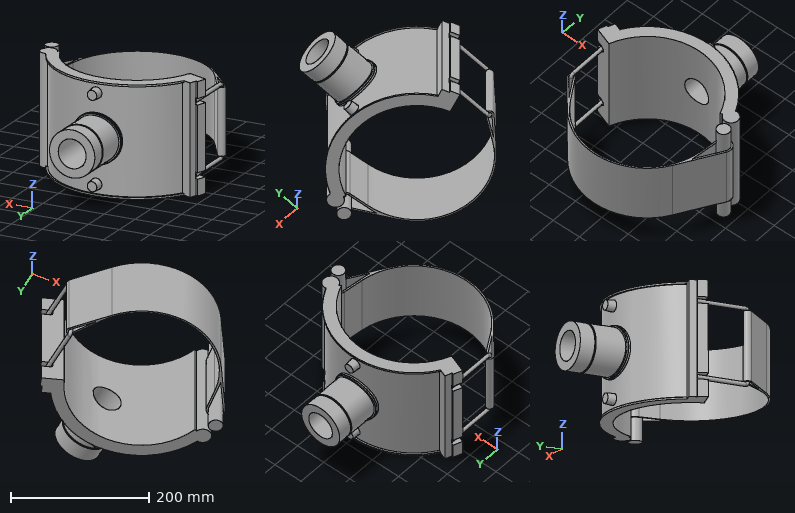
import cadquery as cq
import math

PIPE_RADIUS = 112.5
RIM_RADIUS = 132.5
SHELL_RADIUS = 129.5
RIM_WIDTH = 3.0
CLAMP_HEIGHT = 176.0
END_ANGLE = 20.0

KNUCKLE_RADIUS = 13.0

LATCH_REACH = 146.0
LATCH_LIP_HEIGHT = 16.0
LATCH_STEP_REACH = 143.0
LATCH_HEIGHT = 28.0
LATCH_ROOT = PIPE_RADIUS + 5.0
SLOT_DIAMETER = 10.0
SLOT_CENTRE_REACH = 134.0

OUTLET_END = 205.74
OUTLET_DIAMETER = 73.65
OUTLET_BORE = 45.33
GROOVE_DIAMETER = 72.65
GROOVE_WIDTH = 2.0
GROOVE_SETBACK = 24.5
OUTLET_ROOT = PIPE_RADIUS + 2.5
COLLAR_DIAMETER = 79.32
COLLAR_STEP = 0.5
COLLAR_RADIUS = RIM_RADIUS + 2.5

STUD_END = 142.9
STUD_ROOT = SHELL_RADIUS - 3.0
STUD_TIP_DIAMETER = 15.4
STUD_BASE_DIAMETER = 18.4
STUD_OFFSET = 70.1

STRAP_THICKNESS = 3.0
STRAP_WIDTH = 106.0
STRAP_RADIUS = PIPE_RADIUS + STRAP_THICKNESS
PIN_DIAMETER = 21.81
PIN_CENTRE = (129.51, 18.3)
WIRE_DIAMETER = 6.75
WIRE_CENTRE = (-126.1, -22.0)
WIRE_BEND_RADIUS = 4.0
WIRE_END_Y = 63.5
WIRE_ARM_Z = STRAP_WIDTH / 2 + WIRE_BEND_RADIUS


def polar(radius, angle, centre=(0.0, 0.0)):
    """Point at a radius and an angle in degrees from a centre."""
    turn = math.radians(angle)
    return (centre[0] + radius * math.cos(turn), centre[1] + radius * math.sin(turn))


def upright(sketch, height):
    """Extrude an XY outline symmetrically about Z = 0."""
    return sketch.extrude(height / 2, both=True)


def along_y(diameter, start, end):
    """Cylinder along Y, centred on X = 0 and Z = 0."""
    plane = cq.Plane(origin=(0, start, 0), xDir=(1, 0, 0), normal=(0, 1, 0))
    return cq.Workplane(plane).circle(diameter / 2).extrude(end - start)


def pipe_cylinder(radius):
    """Full-height cylinder about the pipe axis."""
    return upright(cq.Workplane("XY").circle(radius), CLAMP_HEIGHT)


def arc_shell(outer_radius, height):
    """Shell between the pipe and an outer radius, from end face to end face."""
    far_angle = 180 - END_ANGLE
    outline = (
        cq.Workplane("XY")
        .moveTo(*polar(PIPE_RADIUS, END_ANGLE))
        .lineTo(*polar(outer_radius, END_ANGLE))
        .threePointArc((0, outer_radius), polar(outer_radius, far_angle))
        .lineTo(*polar(PIPE_RADIUS, far_angle))
        .threePointArc((0, PIPE_RADIUS), polar(PIPE_RADIUS, END_ANGLE))
        .close()
    )
    return upright(outline, height)


def make_saddle_shell():
    shell = arc_shell(SHELL_RADIUS, CLAMP_HEIGHT)
    rims = arc_shell(RIM_RADIUS, CLAMP_HEIGHT).cut(
        arc_shell(RIM_RADIUS, CLAMP_HEIGHT - 2 * RIM_WIDTH)
    )
    knuckle_centre = polar(SHELL_RADIUS, END_ANGLE)
    knuckle = upright(
        cq.Workplane("XY").moveTo(*knuckle_centre).circle(KNUCKLE_RADIUS), CLAMP_HEIGHT
    )
    return shell.union(rims).union(knuckle)


def make_latch_block():
    """Stepped block with two wire slots; local X is radial, local -Y points away from the end face."""
    profile = [
        (PIPE_RADIUS, 0),
        (LATCH_REACH, 0),
        (LATCH_REACH, -LATCH_LIP_HEIGHT),
        (LATCH_STEP_REACH, -LATCH_LIP_HEIGHT),
        (LATCH_STEP_REACH, -LATCH_HEIGHT),
        (LATCH_ROOT, -LATCH_HEIGHT),
        (LATCH_ROOT, -LATCH_LIP_HEIGHT),
    ]
    block = upright(cq.Workplane("XY").polyline(profile).close(), CLAMP_HEIGHT)
    slot_length = LATCH_REACH - SLOT_CENTRE_REACH
    for z in (-WIRE_ARM_Z, WIRE_ARM_Z):
        end_face = cq.Plane(origin=(SLOT_CENTRE_REACH, 0, z), xDir=(1, 0, 0), normal=(0, -1, 0))
        round_end = cq.Workplane(end_face).circle(SLOT_DIAMETER / 2).extrude(LATCH_LIP_HEIGHT)
        channel = (
            cq.Workplane(end_face)
            .center(slot_length / 2, 0)
            .rect(slot_length, SLOT_DIAMETER)
            .extrude(LATCH_LIP_HEIGHT)
        )
        block = block.cut(round_end).cut(channel)
    return block.rotate((0, 0, 0), (0, 0, 1), 180 - END_ANGLE)


def make_outlet():
    groove_start = OUTLET_END - GROOVE_SETBACK - GROOVE_WIDTH
    groove_end = groove_start + GROOVE_WIDTH
    groove = along_y(OUTLET_DIAMETER, groove_start, groove_end).cut(
        along_y(GROOVE_DIAMETER, groove_start, groove_end)
    )
    outlet = along_y(OUTLET_DIAMETER, OUTLET_ROOT, OUTLET_END).cut(groove)
    lower_collar = make_collar_layer(COLLAR_DIAMETER, RIM_RADIUS)
    upper_collar = make_collar_layer(COLLAR_DIAMETER - 2 * COLLAR_STEP, COLLAR_RADIUS)
    return outlet.union(lower_collar).union(upper_collar)


def make_collar_layer(diameter, top_radius):
    """Round collar around the outlet whose top follows the curve of the shell."""
    return along_y(diameter, OUTLET_ROOT, top_radius).intersect(pipe_cylinder(top_radius))


def make_stud(z):
    """Slightly tapered stud standing on the shell."""
    base = cq.Plane(origin=(0, STUD_ROOT, z), xDir=(1, 0, 0), normal=(0, 1, 0))
    return (
        cq.Workplane(base)
        .circle(STUD_BASE_DIAMETER / 2)
        .workplane(offset=STUD_END - STUD_ROOT)
        .circle(STUD_TIP_DIAMETER / 2)
        .loft()
    )


def strap_tangents(centre, core_radius, side):
    """Angles about the pipe axis where the outer and inner strands of a loop meet the band.

    The strands run tangent to the band and to the loop; side is +1 when the band
    lies counterclockwise of the loop and -1 when it lies clockwise.
    """
    distance = math.hypot(*centre)
    bearing = math.degrees(math.atan2(centre[1], centre[0])) % 360
    loop_radius = core_radius + STRAP_THICKNESS
    outer = math.degrees(math.acos((STRAP_RADIUS - loop_radius) / distance))
    inner = math.degrees(math.acos((PIPE_RADIUS + loop_radius) / distance))
    return bearing + side * outer, bearing + side * inner


def make_strap():
    """Band below the pipe, folded back on itself around the wire and around the pin."""
    wire_radius = WIRE_DIAMETER / 2
    pin_radius = PIN_DIAMETER / 2
    wire_loop = wire_radius + STRAP_THICKNESS
    pin_loop = pin_radius + STRAP_THICKNESS
    wire_outer, wire_inner = strap_tangents(WIRE_CENTRE, wire_radius, 1)
    pin_outer, pin_inner = strap_tangents(PIN_CENTRE, pin_radius, -1)

    wire_gap = (wire_outer + wire_inner + 180) / 2
    pin_gap = (pin_outer + pin_inner - 180) / 2
    bottom_angle = 270
    envelope = (
        cq.Workplane("XY")
        .moveTo(*polar(STRAP_RADIUS, wire_outer))
        .threePointArc(polar(STRAP_RADIUS, bottom_angle), polar(STRAP_RADIUS, pin_outer))
        .lineTo(*polar(pin_loop, pin_outer, PIN_CENTRE))
        .threePointArc(
            polar(pin_loop, pin_gap + 180, PIN_CENTRE),
            polar(pin_loop, pin_inner + 180, PIN_CENTRE),
        )
        .lineTo(*polar(PIPE_RADIUS, pin_inner))
        .threePointArc(polar(PIPE_RADIUS, bottom_angle), polar(PIPE_RADIUS, wire_inner))
        .lineTo(*polar(wire_loop, wire_inner + 180, WIRE_CENTRE))
        .threePointArc(
            polar(wire_loop, wire_gap + 180, WIRE_CENTRE),
            polar(wire_loop, wire_outer, WIRE_CENTRE),
        )
        .close()
    )
    strap = upright(envelope, STRAP_WIDTH)
    strap = strap.cut(make_fold_gap(WIRE_CENTRE, wire_radius, wire_outer, wire_gap))
    return strap.cut(make_fold_gap(PIN_CENTRE, pin_radius, pin_outer, pin_gap))


def make_fold_gap(centre, radius, strand_angle, gap_angle):
    """Teardrop opening of a loop: round at the core, pointed where the strands meet."""
    half_angle = gap_angle - strand_angle
    tip_distance = radius / math.cos(math.radians(half_angle))
    outline = (
        cq.Workplane("XY")
        .moveTo(*polar(tip_distance, gap_angle, centre))
        .lineTo(*polar(radius, strand_angle, centre))
        .threePointArc(
            polar(radius, gap_angle + 180, centre),
            polar(radius, gap_angle + half_angle, centre),
        )
        .close()
    )
    return upright(outline, STRAP_WIDTH)


def make_hinge_pin():
    pin = cq.Workplane("XY").moveTo(*PIN_CENTRE).circle(PIN_DIAMETER / 2)
    return upright(pin, CLAMP_HEIGHT)


def make_wire_bail():
    """U-shaped wire: a bar through the strap loop and two arms into the latch slots."""
    x, y = WIRE_CENTRE
    bend_y = y + WIRE_BEND_RADIUS
    bend_z = WIRE_ARM_Z - WIRE_BEND_RADIUS
    bend_mid = WIRE_BEND_RADIUS * math.sqrt(0.5)
    path = (
        cq.Workplane(cq.Plane(origin=(x, 0, 0), xDir=(0, 1, 0), normal=(1, 0, 0)))
        .moveTo(WIRE_END_Y, -WIRE_ARM_Z)
        .lineTo(bend_y, -WIRE_ARM_Z)
        .threePointArc((bend_y - bend_mid, -bend_z - bend_mid), (y, -bend_z))
        .lineTo(y, bend_z)
        .threePointArc((bend_y - bend_mid, bend_z + bend_mid), (bend_y, WIRE_ARM_Z))
        .lineTo(WIRE_END_Y, WIRE_ARM_Z)
    )
    start = cq.Plane(origin=(x, WIRE_END_Y, -WIRE_ARM_Z), xDir=(1, 0, 0), normal=(0, -1, 0))
    return cq.Workplane(start).circle(WIRE_DIAMETER / 2).sweep(path)


saddle = make_saddle_shell().union(make_latch_block()).union(make_outlet())
for stud_z in (-STUD_OFFSET, STUD_OFFSET):
    saddle = saddle.union(make_stud(stud_z))
saddle = saddle.cut(along_y(OUTLET_BORE, 0, OUTLET_END))

strap_assembly = make_strap().union(make_hinge_pin()).union(make_wire_bail())
result = saddle.union(strap_assembly)